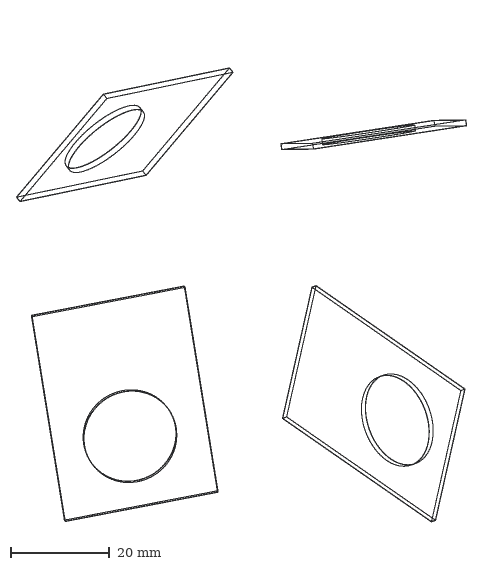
import cadquery as cq
import math

width = 31.75
outer_side = 31.6
thickness = 1.2
tilt = 45.0
hole_diameter = 19.05
hole_from_low_end = 14.85

length = outer_side * math.sqrt(2) - thickness

plate = cq.Workplane("XY").box(length, width, thickness)

hole = (
    cq.Workplane("XY", origin=(0, 0, -thickness / 2))
    .center(hole_from_low_end - length / 2, 0)
    .circle(hole_diameter / 2)
    .extrude(thickness)
)

result = plate.cut(hole).rotate((0, 0, 0), (0, 1, 0), -tilt)